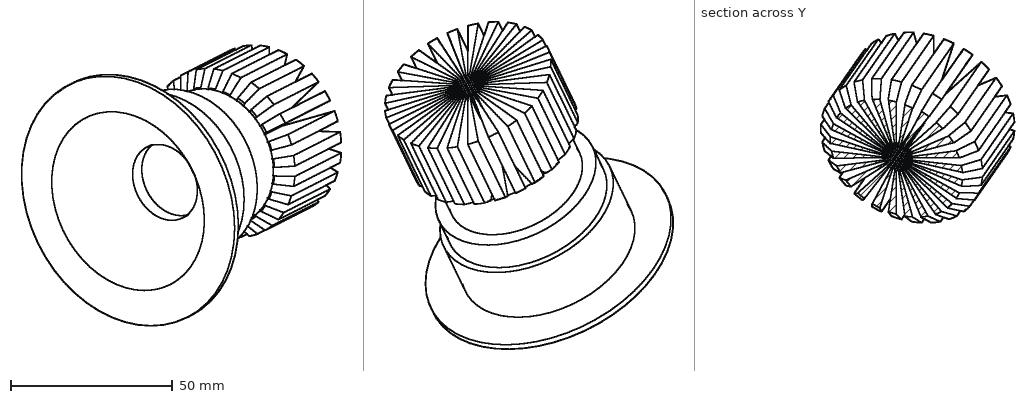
import cadquery as cq

flange_radius = 40.5
flange_thickness = 2.0
base_radius = 28.6
base_end = 21.95
collar_radius = 26.5
collar_end = 32.0
neck_radius = 22.0
neck_end = 47.0
overall_length = 76.0

reflector_mouth_radius = 29.0
reflector_throat_radius = 12.3
reflector_depth = 19.85
recess_depth = 4.95

fin_count = 25
fin_outer_radius = 27.4
fin_root_radius = 22.4
fin_inner_radius = 5.0
fin_taper_length = 4.0
fin_pitch = 360 / fin_count
fin_angle = fin_pitch / 2

long_taper_fins = (8, 9, 10)
long_taper_root_radius = 23.0
long_taper_length = 4.9


def revolve_about_y(profile, angle=360):
    """Turn a closed (radius, y) outline about the Y axis."""
    return cq.Workplane("XY").polyline(profile).close().revolve(angle, (0, 0, 0), (0, 1, 0))


def make_body():
    recess_floor = reflector_depth + recess_depth
    return revolve_about_y([
        (reflector_mouth_radius, 0),
        (flange_radius, 0),
        (flange_radius, flange_thickness),
        (base_radius, flange_thickness),
        (base_radius, base_end),
        (collar_radius, base_end),
        (collar_radius, collar_end),
        (neck_radius, collar_end),
        (neck_radius, neck_end),
        (0, neck_end),
        (0, recess_floor),
        (reflector_throat_radius, recess_floor),
        (reflector_throat_radius, reflector_depth),
    ])


def make_fin(index, root_radius, taper_length):
    """One radial wedge, counted from the -X direction, tapered where it meets the neck."""
    fin = revolve_about_y([
        (fin_inner_radius, neck_end),
        (root_radius, neck_end),
        (fin_outer_radius, neck_end + taper_length),
        (fin_outer_radius, overall_length),
        (fin_inner_radius, overall_length),
    ], fin_angle)
    return fin.rotate((0, 0, 0), (0, 1, 0), 180 - fin_angle / 2 + index * fin_pitch)


result = make_body()
for index in range(fin_count):
    if index in long_taper_fins:
        fin = make_fin(index, long_taper_root_radius, long_taper_length)
    else:
        fin = make_fin(index, fin_root_radius, fin_taper_length)
    result = result.union(fin)